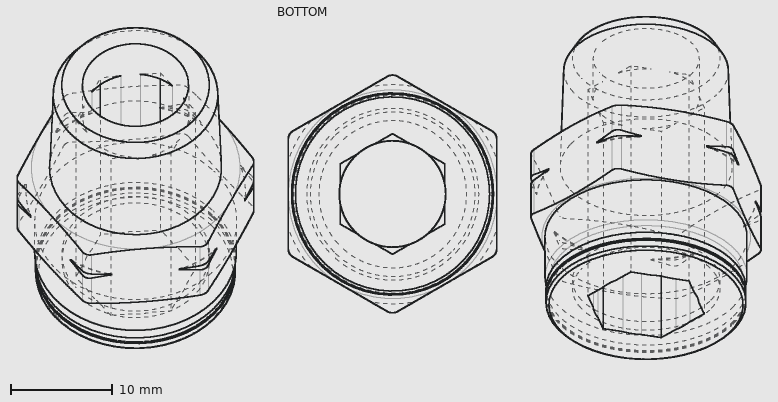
import cadquery as cq
import math

total_height = 29.5
collar_top = 1.95
body_bottom = 2.98
hex_bottom = 8.15
hex_top = 16.5
taper_top = 28.02

collar_diameter = 19.8
collar_chamfer = 0.3
collar_groove_diameter = 19.6
collar_groove_bottom = 1.05
collar_groove_width = 0.15
neck_diameter = 14.6

body_diameter = 20.0
body_edge_radius = 0.4

hex_across_flats = 20.65
hex_corner_radius = 1.0
hex_chamfer_angle = 15.0
notch_root_radius = 10.85
notch_root_width = 0.1
notch_mouth_width = 0.75
notch_height = 12.8

spigot_base_diameter = 17.02
spigot_taper = 1 / 16
spigot_tip_diameter = 14.6

bore_diameter = 10.5
socket_across_flats = 10.32
socket_depth = 4.8

hex_circumdiameter = hex_across_flats / math.cos(math.radians(30))
hex_corner_reach = hex_circumdiameter / 2 - hex_corner_radius * (1 / math.cos(math.radians(30)) - 1)


def revolve_profile(points):
    """Revolve a closed (radius, height) outline around the Z axis."""
    return cq.Workplane("XZ").polyline(points).close().revolve(360, (0, 0, 0), (0, 1, 0))


def hex_prism(across_flats, bottom, top):
    """Hexagonal prism with flats facing +X and -X."""
    circumdiameter = across_flats / math.cos(math.radians(30))
    prism = cq.Workplane("XY").workplane(offset=bottom).polygon(6, circumdiameter).extrude(top - bottom)
    return prism.rotate((0, 0, 0), (0, 0, 1), 30)


def make_collar_and_neck():
    radius = collar_diameter / 2
    groove_radius = collar_groove_diameter / 2
    groove_top = collar_groove_bottom + collar_groove_width
    return revolve_profile([
        (0, 0),
        (radius - collar_chamfer, 0),
        (radius, collar_chamfer),
        (radius, collar_groove_bottom),
        (groove_radius, collar_groove_bottom),
        (groove_radius, groove_top),
        (radius, groove_top),
        (radius, collar_top),
        (neck_diameter / 2, collar_top),
        (neck_diameter / 2, body_bottom),
        (0, body_bottom),
    ])


def make_body():
    body = cq.Workplane("XY").workplane(offset=body_bottom)
    body = body.circle(body_diameter / 2).extrude(hex_bottom - body_bottom)
    return body.faces("<Z").edges().fillet(body_edge_radius)


def make_wrench_hex():
    prism = hex_prism(hex_across_flats, hex_bottom, hex_top).edges("|Z").fillet(hex_corner_radius)

    inner_radius = hex_across_flats / 2
    outer_radius = hex_circumdiameter / 2
    drop = (outer_radius - inner_radius) * math.tan(math.radians(hex_chamfer_angle))
    envelope = revolve_profile([
        (0, hex_bottom),
        (inner_radius, hex_bottom),
        (outer_radius, hex_bottom + drop),
        (outer_radius, hex_top - drop),
        (inner_radius, hex_top),
        (0, hex_top),
    ])

    root_half = notch_root_width / 2
    mouth_half = notch_mouth_width / 2
    groove = revolve_profile([
        (notch_root_radius, notch_height - root_half),
        (hex_corner_reach, notch_height - mouth_half),
        (outer_radius, notch_height - mouth_half),
        (outer_radius, notch_height + mouth_half),
        (hex_corner_reach, notch_height + mouth_half),
        (notch_root_radius, notch_height + root_half),
    ])
    return prism.intersect(envelope).cut(groove)


def make_spigot():
    base_radius = spigot_base_diameter / 2
    taper_end_radius = base_radius - (taper_top - hex_top) * spigot_taper / 2
    return revolve_profile([
        (0, hex_top),
        (base_radius, hex_top),
        (taper_end_radius, taper_top),
        (spigot_tip_diameter / 2, total_height),
        (0, total_height),
    ])


def make_passage():
    bore = cq.Workplane("XY").circle(bore_diameter / 2).extrude(total_height)
    socket = hex_prism(socket_across_flats, 0, total_height - socket_depth)
    return bore.union(socket)


outside = make_collar_and_neck().union(make_body()).union(make_wrench_hex()).union(make_spigot())
result = outside.cut(make_passage())